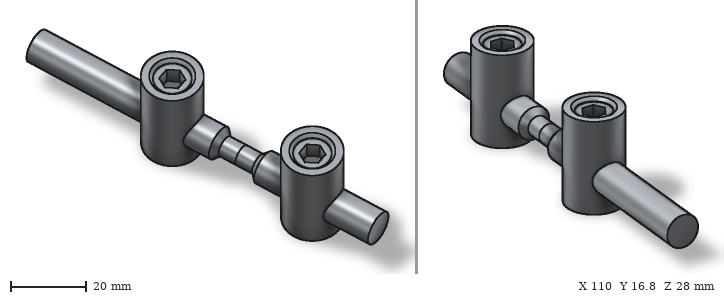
import cadquery as cq

total_length = 110.0
joint_x = 66.0
rod_diameter = 9.8
neck_diameter = 6.0
neck_length = 10.8
taper_length = 1.9

post_diameter = 16.8
post_height = 28.0
post_spacing = 45.1
left_post_x = 43.7
rod_height = 10.0

recess_diameter = 10.3
recess_depth = 1.2
recess_chamfer = 1.0
hex_across_corners = 7.0
hex_depth = 5.0

right_post_x = left_post_x + post_spacing


def make_rod(length):
    """Rod along +X from the origin, tapering to half of the neck."""
    rod_radius = rod_diameter / 2
    neck_radius = neck_diameter / 2
    neck_start = length - neck_length / 2
    return (
        cq.Workplane("XZ")
        .moveTo(0, 0)
        .lineTo(0, rod_radius)
        .lineTo(neck_start - taper_length, rod_radius)
        .lineTo(neck_start, neck_radius)
        .lineTo(length, neck_radius)
        .lineTo(length, 0)
        .close()
        .revolve(360, (0, 0, 0), (1, 0, 0))
    )


def make_post(x):
    """Upright cylindrical post crossing the rod."""
    return (
        cq.Workplane("XY", origin=(x, 0, -rod_height))
        .circle(post_diameter / 2)
        .extrude(post_height)
    )


def make_socket(x):
    """Chamfered round recess with a hexagonal key socket in its floor."""
    top = cq.Workplane("XY", origin=(x, 0, post_height - rod_height))
    recess = (
        top.circle(recess_diameter / 2)
        .extrude(-recess_depth)
        .union(
            top.circle(recess_diameter / 2 + recess_chamfer)
            .workplane(offset=-recess_chamfer)
            .circle(recess_diameter / 2)
            .loft(ruled=True)
        )
    )
    hexagon = (
        top.workplane(offset=-recess_depth)
        .transformed(rotate=(0, 0, 90))
        .polygon(6, hex_across_corners)
        .extrude(-hex_depth)
    )
    return recess.union(hexagon)


def make_arm(rod, post_x):
    """One-piece arm: rod and post joined, with the socket cut in the post."""
    return rod.union(make_post(post_x)).cut(make_socket(post_x))


left_rod = make_rod(joint_x)
left_arm = make_arm(left_rod, left_post_x)

right_rod = (
    make_rod(total_length - joint_x)
    .rotate((0, 0, 0), (0, 0, 1), 180)
    .translate((total_length, 0, 0))
)
right_arm = make_arm(right_rod, right_post_x)

result = cq.Compound.makeCompound([left_arm.val(), right_arm.val()])